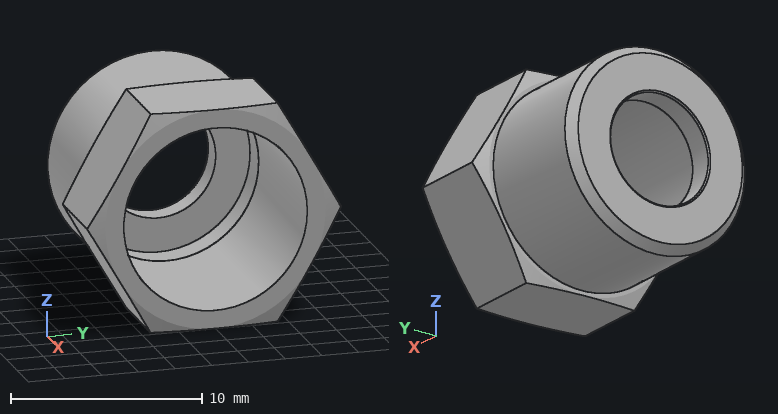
import cadquery as cq
import math

width_across_corners = 13.86
width_across_flats = width_across_corners * math.cos(math.radians(30))
hex_length = 5.0
shank_length = 7.0
total_length = shank_length + hex_length
shank_diameter = 11.5
shank_chamfer = 0.5
hex_chamfer_angle = 15.0

mouth_diameter = 6.43
throat_diameter = 6.25
throat_end = 1.5
inner_bore_diameter = 9.99
inner_bore_end = 3.08
outer_bore_diameter = 10.0


def make_shank():
    shank = cq.Workplane("YZ").circle(shank_diameter / 2).extrude(shank_length)
    return shank.faces("<X").chamfer(shank_chamfer)


def make_hex_head():
    """Hexagon with corners on +Y and -Y, both ends turned to a shallow cone."""
    prism = (
        cq.Workplane("YZ")
        .workplane(offset=shank_length)
        .polygon(6, width_across_corners)
        .extrude(hex_length)
    )
    flat_radius = width_across_flats / 2
    corner_radius = width_across_corners / 2
    setback = (corner_radius - flat_radius) * math.tan(math.radians(hex_chamfer_angle))
    turned_envelope = (
        cq.Workplane("XY")
        .moveTo(shank_length, 0)
        .lineTo(shank_length, flat_radius)
        .lineTo(shank_length + setback, corner_radius)
        .lineTo(total_length - setback, corner_radius)
        .lineTo(total_length, flat_radius)
        .lineTo(total_length, 0)
        .close()
        .revolve(360, (0, 0, 0), (1, 0, 0))
    )
    return prism.intersect(turned_envelope)


def make_passage():
    mouth_radius = mouth_diameter / 2
    throat_radius = throat_diameter / 2
    inner_bore_radius = inner_bore_diameter / 2
    outer_bore_radius = outer_bore_diameter / 2
    mouth_chamfer = mouth_radius - throat_radius
    return (
        cq.Workplane("XY")
        .lineTo(0, mouth_radius)
        .lineTo(mouth_chamfer, throat_radius)
        .lineTo(throat_end, throat_radius)
        .lineTo(throat_end, inner_bore_radius)
        .lineTo(inner_bore_end, inner_bore_radius)
        .lineTo(inner_bore_end, outer_bore_radius)
        .lineTo(total_length, outer_bore_radius)
        .lineTo(total_length, 0)
        .close()
        .revolve(360, (0, 0, 0), (1, 0, 0))
    )


result = make_shank().union(make_hex_head()).cut(make_passage())